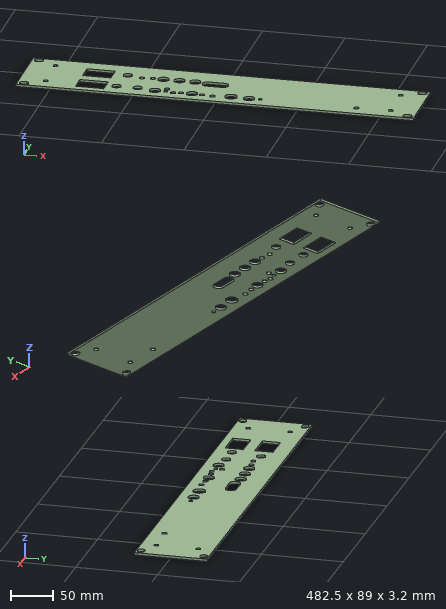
import cadquery as cq

panel_length = 482.5
panel_height = 89.0
panel_thickness = 3.2

rack_slot_length = 10.5
rack_slot_width = 8.0
rack_slot_spacing_x = 465.0
rack_slot_spacing_y = 76.3

mount_hole_diameter = 5.5
mount_spacing_x = 419.0
mount_spacing_y = 51.0

window_width = 34.0
window_height = 21.5
window_x = -154.0
window_centers = [(window_x, 13.0), (window_x, -23.0)]

connector_length = 31.0
connector_height = 13.0
connector_corner_radius = 6.0
connector_center = (-11.5, 8.5)

upper_row_y = 11.5
lower_row_y = -26.0
button_row_y = -22.5
lamp_row_y = -27.0
low_lamp_row_y = -28.5

pin_hole_diameter = 4.5
pin_centers = [(-63.5, lower_row_y), (51.0, lower_row_y)]

lamp_hole_diameter = 6.0
lamp_centers = [
    (-101.0, 9.5),
    (-88.0, 11.0),
    (-63.5, -18.5),
    (-54.0, low_lamp_row_y),
    (-45.0, lamp_row_y),
    (-19.5, lamp_row_y),
    (-6.5, low_lamp_row_y),
    (168.0, lamp_row_y),
]

button_hole_diameter = 10.5
button_centers = [(-119.0, 14.5), (-124.0, button_row_y), (-98.5, button_row_y)]

socket_hole_diameter = 13.0
socket_centers = [
    (-75.5, upper_row_y),
    (-56.0, upper_row_y),
    (-36.5, upper_row_y),
    (-76.5, lower_row_y),
    (-32.0, lower_row_y),
    (37.5, lower_row_y),
]

large_hole_diameter = 14.5
large_centers = [(15.5, -25.0)]


def cut_through_holes(plate, centers, diameter):
    """Cut equal round holes through the plate."""
    return plate.faces(">Z").workplane(origin=(0, 0, 0)).pushPoints(centers).hole(diameter)


def cut_rack_slots(plate):
    """Cut the four obround fixing slots."""
    return (
        plate.faces(">Z").workplane(origin=(0, 0, 0))
        .rarray(rack_slot_spacing_x, rack_slot_spacing_y, 2, 2)
        .slot2D(rack_slot_length, rack_slot_width)
        .cutThruAll()
    )


def cut_mount_holes(plate):
    """Cut the four mounting holes."""
    return (
        plate.faces(">Z").workplane(origin=(0, 0, 0))
        .rarray(mount_spacing_x, mount_spacing_y, 2, 2)
        .hole(mount_hole_diameter)
    )


def cut_windows(plate):
    """Cut the sharp-cornered rectangular windows."""
    return (
        plate.faces(">Z").workplane(origin=(0, 0, 0))
        .pushPoints(window_centers)
        .rect(window_width, window_height)
        .cutThruAll()
    )


def cut_connector_opening(plate):
    """Cut the rectangular opening with rounded corners."""
    cutter = (
        cq.Workplane("XY")
        .center(*connector_center)
        .rect(connector_length, connector_height)
        .extrude(panel_thickness, both=True)
        .edges("|Z").fillet(connector_corner_radius)
    )
    return plate.cut(cutter)


panel = cq.Workplane("XY").box(panel_length, panel_height, panel_thickness)
panel = cut_rack_slots(panel)
panel = cut_mount_holes(panel)
panel = cut_windows(panel)
panel = cut_connector_opening(panel)

for hole_centers, hole_diameter in [
    (pin_centers, pin_hole_diameter),
    (lamp_centers, lamp_hole_diameter),
    (button_centers, button_hole_diameter),
    (socket_centers, socket_hole_diameter),
    (large_centers, large_hole_diameter),
]:
    panel = cut_through_holes(panel, hole_centers, hole_diameter)

result = panel